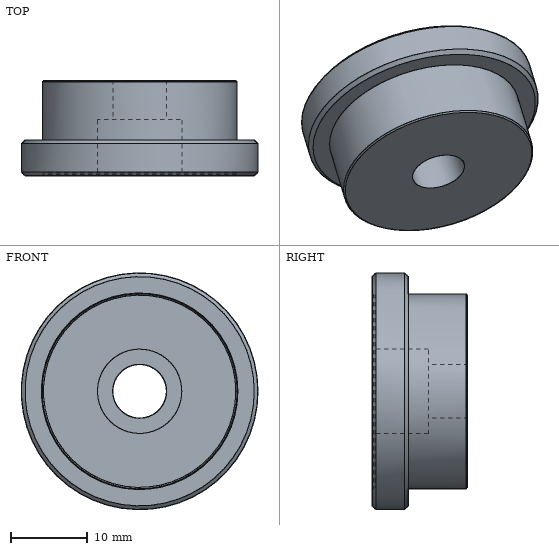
import cadquery as cq

flange_diameter = 31.0
flange_thickness = 4.75
flange_chamfer = 0.5
body_diameter = 25.55
total_length = 12.5
body_chamfer = 0.2

bore_diameter = 11.05
rear_hole_diameter = 7.0
bore_depth = 7.4

recess_diameter = body_diameter
recess_depth = 0.4
recess_rim_chamfer = 0.1
recess_floor_bevel = 0.2


def front_disc(diameter, length):
    """Disc centred on the Y axis, growing rearwards from the front face."""
    return cq.Workplane("XZ").circle(diameter / 2).extrude(-length)


def front_recess():
    """Shallow round pocket, flared at the rim and tapered towards the floor."""
    recess_radius = recess_diameter / 2
    return (
        cq.Workplane("XY")
        .lineTo(recess_radius + recess_rim_chamfer, 0)
        .lineTo(recess_radius, recess_rim_chamfer)
        .lineTo(recess_radius, recess_depth - recess_floor_bevel)
        .lineTo(recess_radius - recess_floor_bevel, recess_depth)
        .lineTo(0, recess_depth)
        .close()
        .revolve(360, (0, 0, 0), (0, 1, 0))
    )


flange = front_disc(flange_diameter, flange_thickness).edges().chamfer(flange_chamfer)
body = front_disc(body_diameter, total_length).faces(">Y").edges().chamfer(body_chamfer)

result = (
    flange.union(body)
    .cut(front_disc(rear_hole_diameter, total_length))
    .cut(front_disc(bore_diameter, bore_depth))
    .cut(front_recess())
)